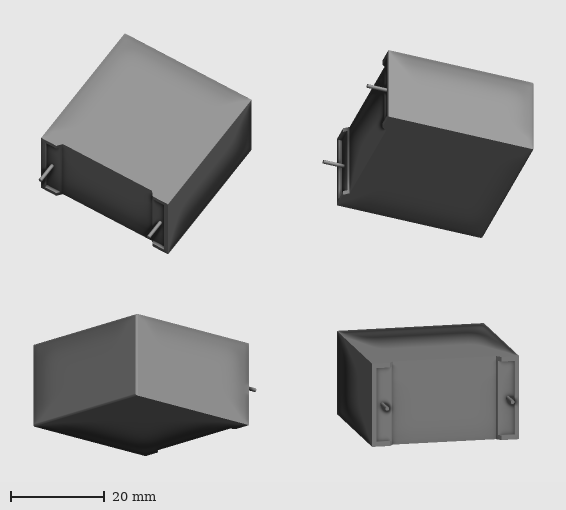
import cadquery as cq

WIDTH = 32.3
TOTAL_LENGTH = 37.1
HEIGHT = 18.2
LEAD_LENGTH = 4.0
CASE_LENGTH = TOTAL_LENGTH - LEAD_LENGTH

BACK_RADIUS = 0.45
WALL = 1.0
NOTCH_DEPTH = 1.15
NOTCH_BOTTOM_WIDTH = 22.7
NOTCH_MOUTH_WIDTH = 24.55
RECESS_DEPTH = 0.75

LEAD_DIAMETER = 0.8
LEAD_SPACING = 27.55
LEAD_EMBEDDED = 1.85

LEAD_INNER_Y = RECESS_DEPTH + LEAD_EMBEDDED
SIDES = (-1, 1)


def make_case_block():
    """Box with its back edges rounded."""
    block = cq.Workplane("XY").box(WIDTH, CASE_LENGTH, HEIGHT, centered=(True, False, True))
    return block.faces(">Y").edges().fillet(BACK_RADIUS)


def make_notch():
    """Trapezoidal gap that leaves a foot at each end of the front face."""
    return (
        cq.Workplane("XY", origin=(0, 0, -HEIGHT / 2))
        .moveTo(-NOTCH_MOUTH_WIDTH / 2, 0)
        .lineTo(-NOTCH_BOTTOM_WIDTH / 2, NOTCH_DEPTH)
        .lineTo(NOTCH_BOTTOM_WIDTH / 2, NOTCH_DEPTH)
        .lineTo(NOTCH_MOUTH_WIDTH / 2, 0)
        .close()
        .extrude(HEIGHT)
    )


def make_recess_cutter():
    """Shallow cut inside the rim; between the feet it removes only what the notch removes."""
    return cq.Workplane("XY").box(
        WIDTH - 2 * WALL, RECESS_DEPTH, HEIGHT - 2 * WALL, centered=(True, False, True)
    )


def make_lead(side):
    """Round wire lead, from inside the case to its free end in front of the feet."""
    return (
        cq.Workplane("XZ", origin=(side * LEAD_SPACING / 2, LEAD_INNER_Y, 0))
        .circle(LEAD_DIAMETER / 2)
        .extrude(LEAD_INNER_Y + LEAD_LENGTH)
    )


leads = [make_lead(side) for side in SIDES]

case = make_case_block().cut(make_notch()).cut(make_recess_cutter())
for lead in leads:
    case = case.cut(lead)

result = cq.Compound.makeCompound([case.val(), *[lead.val() for lead in leads]])